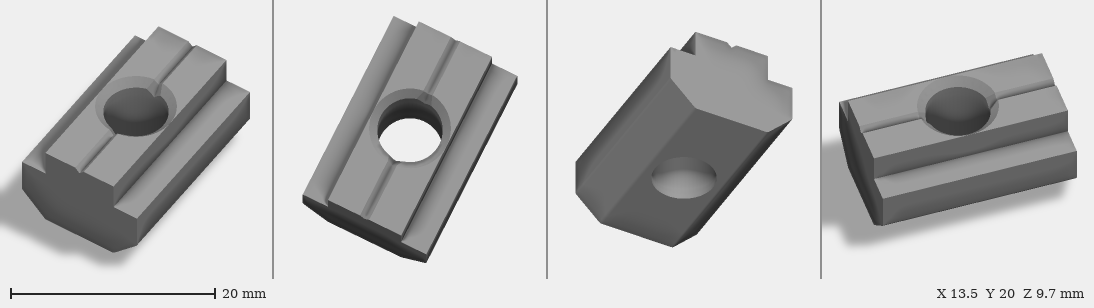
import cadquery as cq
import math

length = 20.0
base_width = 13.5
height = 9.7

neck_width = 8.0
neck_height = 3.0
bottom_width = 8.0
edge_radius = 0.4
groove_width = 1.0
groove_depth = groove_width / 2

bore_diameter = 6.4
countersink_diameter = 8.0

ramp_slope = math.sqrt(2)
ramp_wall_slope = 1.2
ramp_run = 1.0

shoulder_z = height - neck_height
bevel = (base_width - bottom_width) / 2
countersink_depth = (countersink_diameter - bore_diameter) / 2


def make_body():
    """Extrude the T-shaped section along Y, centred on the origin."""
    right_half = [
        (groove_width / 2, height),
        (neck_width / 2, height),
        (neck_width / 2, shoulder_z),
        (base_width / 2, shoulder_z),
        (base_width / 2, bevel),
        (bottom_width / 2, 0),
    ]
    left_half = [(-x, z) for x, z in reversed(right_half)]
    groove_bottom = (0, height - groove_depth)
    section = cq.Workplane("XZ").polyline([groove_bottom] + right_half + left_half).close()
    return section.extrude(length / 2, both=True)


def round_bevel_edges(body):
    """Round both long edges of each lower 45 degree bevel."""
    lower_region = cq.selectors.BoxSelector(
        (-base_width, -length, -edge_radius),
        (base_width, length, bevel + edge_radius),
    )
    return body.edges("|Y").edges(lower_region).fillet(edge_radius)


def cut_hole(body):
    """Cut the through bore and its conical countersink."""
    bore = cq.Workplane("XY").circle(bore_diameter / 2).extrude(height)
    countersink = (
        cq.Workplane("XY", origin=(0, 0, height))
        .circle(countersink_diameter / 2)
        .extrude(-countersink_depth, taper=45)
    )
    return body.cut(bore).cut(countersink)


def groove_ramp(side):
    """Make the flared V that deepens from the countersink rim into the bore, at one end in Y."""
    ramp_start = countersink_diameter / 2
    ramp_bottom = groove_depth + ramp_slope * ramp_run
    ramp = (
        cq.Workplane("XZ", origin=(0, side * ramp_start, 0))
        .polyline(ramp_section(groove_depth))
        .close()
        .workplane(offset=side * ramp_run)
        .polyline(ramp_section(ramp_bottom))
        .close()
    )
    return ramp.loft(ruled=True)


def ramp_section(depth):
    """Return the V-shaped section of a ramp at the given depth below the top face."""
    half_width = depth / ramp_wall_slope
    return [(-half_width, height), (0, height - depth), (half_width, height)]


result = cut_hole(round_bevel_edges(make_body()))
for side in (-1, 1):
    result = result.cut(groove_ramp(side))